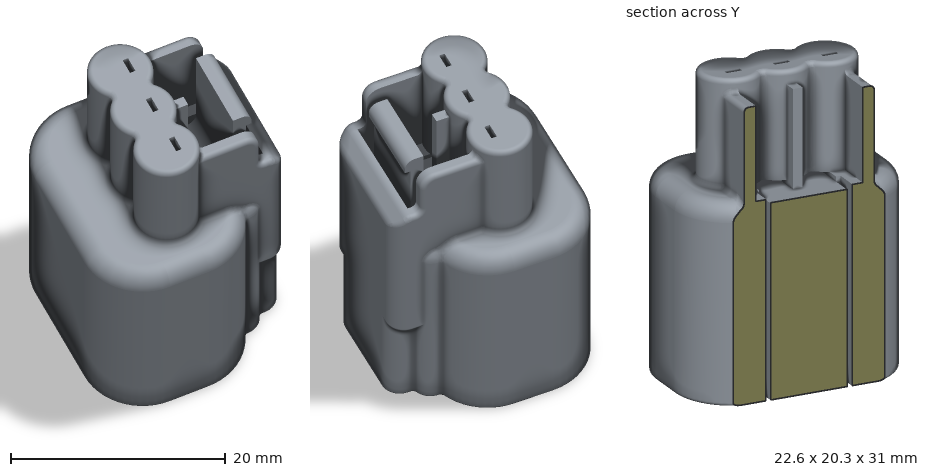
import cadquery as cq
BODY_WIDTH = 22.6
BODY_DEPTH = 16.0
BODY_TOP = 20.1
BODY_CORNER = 6.0
BODY_TOP_ROUND = 1.8
BASE_ROUND = 0.35
OVERALL_HEIGHT = 31.0
BLEND = 0.5

SHOULDER_WIDTH = 14.68
SHOULDER_BACK = 9.81
SHOULDER_CORNER = 1.85

TUBE_COUNT = 3
TUBE_PITCH = 5.0
TUBE_RADIUS = 3.1
TUBE_Y = 0.62
TUBE_CUSP_ROUND = 0.52
CONTACT_SLOT_WIDTH = 1.6
CONTACT_SLOT_FRONT = 1.25
CONTACT_SLOT_BACK = 1.8

HOUSING_WIDTH = 13.58
HOUSING_BACK = 12.25
HOUSING_FRONT = 1.5
HOUSING_BOTTOM = 9.55
HOUSING_CORNER = 1.83
WALL_THICKNESS = 1.25
WALL_TOP = 29.6
WALL_BACK = 9.44
WALL_TOP_ROUND = 1.45
BAND_TOP = 25.0
BAND_INNER_Y = 10.3
BAND_CHAMFER = 1.45
BAND_LOWER_ROUND = 1.2
BAND_UPPER_ROUND = 1.0
BAND_STEP_ROUND = 0.6
FOOT_WIDTH = 11.7

TONGUE_WIDTH = 8.0
TONGUE_FRONT = 7.96
TONGUE_BACK = 9.3
TONGUE_ROOT_ROUND = 1.0
TONGUE_FLOOR = 19.6
HEAD_BACK = 9.86
HEAD_BOTTOM = 28.1
HEAD_ROUND = 1.0
GAP_WIDTH = 0.47
GAP_FRONT = 5.5
NOTCH_FRONT = 4.93
NOTCH_DEPTH = 1.0

RIB_WIDTH = 1.0
RIB_BACK = 5.0
RIB_TOP = 29.6

HOUSING_HALF = HOUSING_WIDTH / 2
POCKET_WIDTH = HOUSING_WIDTH - 2 * WALL_THICKNESS
GAP_OUTER_WIDTH = TONGUE_WIDTH + 2 * GAP_WIDTH
TUBE_XS = [(i - (TUBE_COUNT - 1) / 2) * TUBE_PITCH for i in range(TUBE_COUNT)]
PICK = 0.05


def block(width, y_front, y_back, z_low, z_high, x_mid=0.0):
    """Box centred on x_mid and spanning the given Y and Z limits."""
    box = cq.Workplane("XY").box(width, y_back - y_front, z_high - z_low, centered=(True, False, False))
    return box.translate((x_mid, y_front, z_low))


def back_rounded_block(width, y_back, z_low, z_high, corner):
    """Box from the housing front to y_back with its two rear upright corners rounded."""
    return block(width, HOUSING_FRONT, y_back, z_low, z_high).edges("|Z and >Y").fillet(corner)


def arc_y(x, centre_x, centre_y, radius):
    """Y on the rear half of a circle at the given X."""
    return centre_y + (radius**2 - (x - centre_x) ** 2) ** 0.5


def edges_within(solid, low, high):
    """Edges whose centres lie inside the given corner points."""
    return solid.edges(cq.selectors.BoxSelector(low, high))


def blend_upright_pair(solid, x, y):
    """Blend the two upright edges at (x, y) and (-x, y)."""
    for side in (-x, x):
        low = (side - PICK, y - PICK, 0)
        high = (side + PICK, y + PICK, BODY_TOP)
        solid = edges_within(solid, low, high).edges("|Z").fillet(BLEND)
    return solid


def make_body():
    """Rounded body with the rear shoulder and the foot of the latch housing."""
    body = block(BODY_WIDTH, -BODY_DEPTH / 2, BODY_DEPTH / 2, 0, BODY_TOP).edges("|Z").fillet(BODY_CORNER)
    body = body.union(back_rounded_block(SHOULDER_WIDTH, SHOULDER_BACK, 0, BODY_TOP, SHOULDER_CORNER))
    shoulder_x = SHOULDER_WIDTH / 2
    body_arc = (BODY_WIDTH / 2 - BODY_CORNER, BODY_DEPTH / 2 - BODY_CORNER, BODY_CORNER)
    body = blend_upright_pair(body, shoulder_x, arc_y(shoulder_x, *body_arc))
    body = body.faces(">Z").edges().fillet(BODY_TOP_ROUND)

    foot_top = (HOUSING_BOTTOM + BODY_TOP - BODY_TOP_ROUND) / 2
    body = body.union(back_rounded_block(FOOT_WIDTH, HOUSING_BACK, 0, foot_top, HOUSING_CORNER))
    foot_x = FOOT_WIDTH / 2
    shoulder_arc = (shoulder_x - SHOULDER_CORNER, SHOULDER_BACK - SHOULDER_CORNER, SHOULDER_CORNER)
    body = blend_upright_pair(body, foot_x, arc_y(foot_x, *shoulder_arc))
    return body.faces("<Z").edges().fillet(BASE_ROUND)


def make_housing():
    """Solid envelope of the latch housing: stepped side profile and rounded rear corners."""
    profile = (
        cq.Workplane("YZ")
        .moveTo(HOUSING_FRONT, HOUSING_BOTTOM)
        .lineTo(HOUSING_BACK, HOUSING_BOTTOM)
        .lineTo(HOUSING_BACK, BAND_TOP - BAND_CHAMFER)
        .lineTo(HOUSING_BACK - BAND_CHAMFER, BAND_TOP)
        .lineTo(WALL_BACK, BAND_TOP)
        .lineTo(WALL_BACK, WALL_TOP)
        .lineTo(HOUSING_FRONT, WALL_TOP)
        .close()
    )
    housing = profile.extrude(HOUSING_HALF, both=True)
    profile_rounds = (
        (HOUSING_BACK, BAND_TOP - BAND_CHAMFER, BAND_LOWER_ROUND),
        (HOUSING_BACK - BAND_CHAMFER, BAND_TOP, BAND_UPPER_ROUND),
        (WALL_BACK, BAND_TOP, BAND_STEP_ROUND),
        (WALL_BACK, WALL_TOP, WALL_TOP_ROUND),
    )
    for y, z, radius in profile_rounds:
        edge = edges_within(housing, (-PICK, y - PICK, z - PICK), (PICK, y + PICK, z + PICK))
        housing = edge.fillet(radius)

    housing = housing.intersect(
        back_rounded_block(HOUSING_WIDTH, HOUSING_BACK, HOUSING_BOTTOM, WALL_TOP, HOUSING_CORNER)
    )

    upper_rim = cq.selectors.BoxSelector(
        (-HOUSING_WIDTH, HOUSING_FRONT + PICK, BAND_TOP - BAND_CHAMFER),
        (HOUSING_WIDTH, HOUSING_BACK - HOUSING_CORNER, WALL_TOP + PICK),
    )
    return housing.faces("<X or >X").edges(upper_rim).fillet(BLEND)


def make_tubes(z_low):
    """Row of merged contact tubes with blended cusps and a rounded top rim."""
    tubes = cq.Workplane("XY")
    for x in TUBE_XS:
        tube = cq.Workplane("XY").circle(TUBE_RADIUS).extrude(OVERALL_HEIGHT - z_low)
        tubes = tubes.add(tube.translate((x, TUBE_Y, z_low)))
    tubes = tubes.combine()
    cusp_reach = TUBE_PITCH * (TUBE_COUNT - 1) / 2
    low = (-cusp_reach, TUBE_Y - TUBE_RADIUS, z_low)
    high = (cusp_reach, TUBE_Y + TUBE_RADIUS, OVERALL_HEIGHT)
    tubes = edges_within(tubes, low, high).edges("|Z").fillet(TUBE_CUSP_ROUND)
    return tubes.faces(">Z").edges().fillet(BLEND)


def add_base_flare(tubes):
    """Flare the foot of the tubes as if they stood on a flat plate at the body top."""
    plate = block(BODY_WIDTH, -BODY_DEPTH / 2, BODY_DEPTH / 2, BODY_TOP - BLEND, BODY_TOP)
    reach_x = TUBE_XS[-1] + TUBE_RADIUS - PICK
    low = (-reach_x, TUBE_Y - TUBE_RADIUS - PICK, BODY_TOP - PICK)
    high = (reach_x, TUBE_Y + TUBE_RADIUS + PICK, BODY_TOP + PICK)
    return edges_within(plate.union(tubes), low, high).fillet(BLEND).cut(plate)


def blend_walls_to_body(solid):
    """Blend both outer housing walls into the body top and the shoulder."""
    for wall_x in (-HOUSING_HALF, HOUSING_HALF):
        low = (wall_x - PICK, TUBE_Y, HOUSING_BOTTOM + PICK)
        high = (wall_x + PICK, WALL_BACK, BODY_TOP + PICK)
        solid = edges_within(solid, low, high).fillet(BLEND)
    return solid


def blend_walls_to_tubes(solid):
    """Blend both outer housing walls into the end tubes above their flare."""
    tube_y = arc_y(HOUSING_HALF, TUBE_XS[-1], TUBE_Y, TUBE_RADIUS)
    low = (-HOUSING_HALF - PICK, tube_y - PICK, BODY_TOP + BLEND)
    high = (HOUSING_HALF + PICK, tube_y + PICK, WALL_TOP)
    return edges_within(solid, low, high).edges("|Z").fillet(BLEND)


def round_housing_underside(solid, body):
    """Round the lower outer edge of the housing where it overhangs the foot."""
    top = HOUSING_BOTTOM + BASE_ROUND
    trim = block(BODY_WIDTH, BODY_DEPTH / 2, HOUSING_BACK + BLEND, HOUSING_BOTTOM, top)
    rounded = back_rounded_block(HOUSING_WIDTH, HOUSING_BACK, HOUSING_BOTTOM, WALL_TOP, HOUSING_CORNER)
    rounded = rounded.faces("<Z").edges("not <Y").fillet(BASE_ROUND)
    return solid.cut(trim.cut(rounded).cut(body))


def make_tongue():
    """Latch tongue with a hooked, rounded head and a rounded root at its front."""
    profile = (
        cq.Workplane("YZ")
        .moveTo(TONGUE_FRONT - TONGUE_ROOT_ROUND, TONGUE_FLOOR)
        .radiusArc((TONGUE_FRONT, TONGUE_FLOOR + TONGUE_ROOT_ROUND), -TONGUE_ROOT_ROUND)
        .lineTo(TONGUE_FRONT, WALL_TOP)
        .lineTo(HEAD_BACK - HEAD_ROUND, WALL_TOP)
        .radiusArc((HEAD_BACK, WALL_TOP - HEAD_ROUND), HEAD_ROUND)
        .lineTo(HEAD_BACK, HEAD_BOTTOM)
        .lineTo(TONGUE_BACK, HEAD_BOTTOM)
        .lineTo(TONGUE_BACK, TONGUE_FLOOR)
        .close()
    )
    return profile.extrude(TONGUE_WIDTH / 2, both=True)


def make_latch_void(tubes):
    """Space inside the housing: pocket, sunken tongue floor and the gap around the tongue."""
    pocket = block(POCKET_WIDTH, HOUSING_FRONT, BAND_INNER_Y, BODY_TOP, OVERALL_HEIGHT)
    sunken_floor = block(TONGUE_WIDTH, HOUSING_FRONT, BAND_INNER_Y, TONGUE_FLOOR, OVERALL_HEIGHT)
    void = pocket.union(sunken_floor)
    void = void.union(block(GAP_OUTER_WIDTH, TONGUE_BACK, BAND_INNER_Y, 0, OVERALL_HEIGHT))
    gap_x = (TONGUE_WIDTH + GAP_WIDTH) / 2
    for x in (-gap_x, gap_x):
        gap = block(GAP_WIDTH, GAP_FRONT, BAND_INNER_Y, 0, OVERALL_HEIGHT, x)
        notch = block(GAP_WIDTH, NOTCH_FRONT, GAP_FRONT, TONGUE_FLOOR - NOTCH_DEPTH, OVERALL_HEIGHT, x)
        void = void.union(gap).union(notch)
    return void.cut(tubes)


def make_rib():
    """Short rib standing behind the middle tube."""
    return block(RIB_WIDTH, TUBE_Y, RIB_BACK, TONGUE_FLOOR, RIB_TOP)


def make_contact_slots():
    """Narrow slots running through the full height, one per tube."""
    slots = cq.Workplane("XY")
    for x in TUBE_XS:
        slots = slots.add(
            block(CONTACT_SLOT_WIDTH, CONTACT_SLOT_FRONT, CONTACT_SLOT_BACK, 0, OVERALL_HEIGHT, x)
        )
    return slots.combine()


tubes = make_tubes(BODY_TOP)
body = make_body()
result = blend_walls_to_body(body.union(make_housing()))
result = round_housing_underside(result, body)
result = blend_walls_to_tubes(result.union(add_base_flare(tubes)))
result = result.cut(make_latch_void(tubes))
result = result.union(make_tongue()).union(make_rib())
result = result.cut(make_contact_slots())